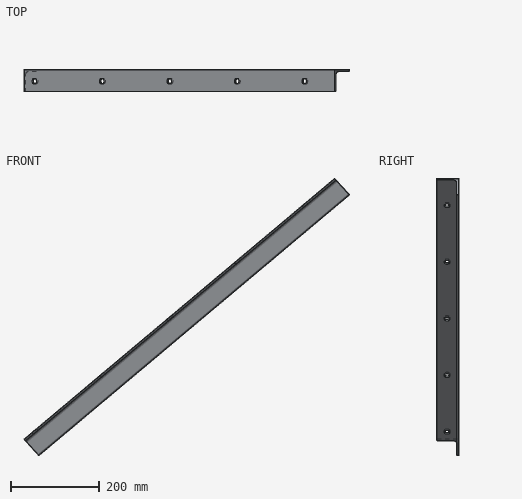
import cadquery as cq
import math

leg = 50.0
thickness = 5.0
root_radius = 7.0
toe_radius = 3.5
length = 920.69
incline = 40.01
end_skew = 2.22
end_shift = leg * math.tan(math.radians(end_skew))

hole_count = 5
hole_pitch = 200.0
first_hole = 30.3
hole_gauge = 26.5
hole_diameter = 13.0


def angle_bar():
    """Bar along +X with its heel on the X axis and its legs toward -Y and -Z."""
    section = (
        cq.Workplane("YZ")
        .polyline([
            (0, 0),
            (-leg, 0),
            (-leg, -thickness),
            (-thickness, -thickness),
            (-thickness, -leg),
            (0, -leg),
        ])
        .close()
    )
    bar = section.extrude(length + end_shift)
    root_edge = cq.selectors.NearestToPointSelector((length / 2, -thickness, -thickness))
    upper_toe = cq.selectors.NearestToPointSelector((length / 2, -leg, -thickness))
    lower_toe = cq.selectors.NearestToPointSelector((length / 2, -thickness, -leg))
    bar = bar.edges(root_edge).fillet(root_radius)
    bar = bar.edges(upper_toe).fillet(toe_radius)
    return bar.edges(lower_toe).fillet(toe_radius)


def bolt_holes():
    """Cutters through the upper leg, evenly spaced along the bar."""
    centers = [(first_hole + i * hole_pitch, -hole_gauge) for i in range(hole_count)]
    return (
        cq.Workplane("XY")
        .pushPoints(centers)
        .circle(hole_diameter / 2)
        .extrude(-thickness)
    )


def end_trim():
    """Parallelogram block bounded by the two skewed end cuts."""
    return (
        cq.Workplane("XZ")
        .polyline([
            (0, 0),
            (length, 0),
            (length + end_shift, -leg),
            (end_shift, -leg),
        ])
        .close()
        .extrude(leg)
    )


level_bar = angle_bar().intersect(end_trim()).cut(bolt_holes())

result = level_bar.rotate((0, 0, 0), (0, 1, 0), -incline)